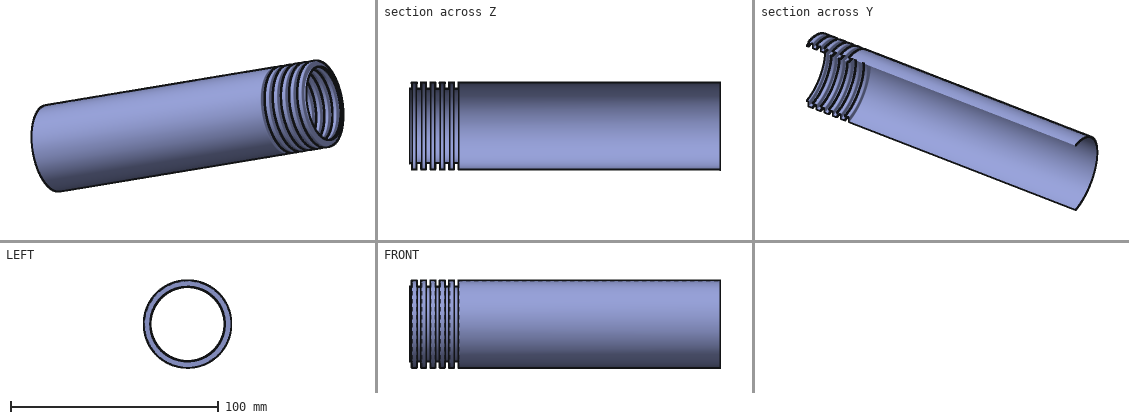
import cadquery as cq

length = 150.0
outer_diameter = 42.5
wall = 0.4

root_diameter = 36.3
ridge_count = 5
pitch = 4.5
ridge_width = 2.75
collar_length = (pitch - ridge_width) / 2
body_start = collar_length + ridge_count * pitch

outside_crest_round = 0.5
outside_root_round = 0.2
bore_crest_round = 0.2
bore_root_round = 0.4

crest_radius = outer_diameter / 2
root_radius = root_diameter / 2


def add_flank(profile, position, direction, inset, crest_round, root_round):
    """Draw one radial flank with its rounded corners.

    position is the axial place of the outside flank face. direction is +1
    where the profile climbs to the crest and -1 where it drops to the root.
    inset is the depth of the drawn surface below the outside surface.
    """
    face = position + direction * inset
    crest = crest_radius - inset
    root = root_radius - inset

    root_tangent = (face - direction * root_round, root)
    flank_bottom = (face, root + root_round)
    flank_top = (face, crest - crest_round)
    crest_tangent = (face + direction * crest_round, crest)

    if direction > 0:
        profile = profile.lineTo(*root_tangent).radiusArc(flank_bottom, -root_round)
        return profile.lineTo(*flank_top).radiusArc(crest_tangent, crest_round)
    profile = profile.lineTo(*crest_tangent).radiusArc(flank_top, crest_round)
    return profile.lineTo(*flank_bottom).radiusArc(root_tangent, -root_round)


def corrugated_solid(inset, crest_round, root_round):
    """Solid of revolution bounded by the surface lying inset below the outside."""
    profile = cq.Workplane("XY").moveTo(0, 0).lineTo(0, root_radius - inset)
    for index in range(ridge_count):
        ridge_start = collar_length + index * pitch
        ridge_end = ridge_start + ridge_width
        profile = add_flank(profile, ridge_start, 1, inset, crest_round, root_round)
        profile = add_flank(profile, ridge_end, -1, inset, crest_round, root_round)
    profile = add_flank(profile, body_start, 1, inset, crest_round, root_round)
    profile = profile.lineTo(length, crest_radius - inset).lineTo(length, 0).close()
    return profile.revolve(360, (0, 0, 0), (1, 0, 0))


outside = corrugated_solid(0, outside_crest_round, outside_root_round)
bore = corrugated_solid(wall, bore_crest_round, bore_root_round)
result = outside.cut(bore).translate((-length / 2, 0, 0))